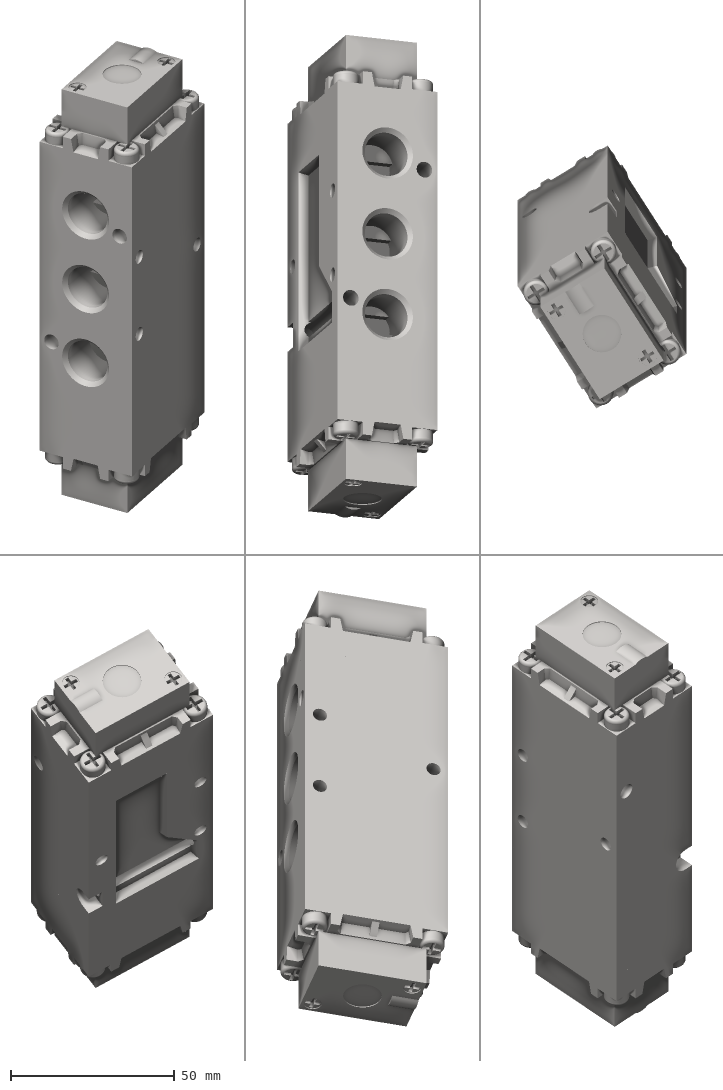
import cadquery as cq
import math

WIDTH = 32.5
DEPTH = 45.5
TOTAL_HEIGHT = 144.3
RIDGE_HEIGHT = 0.7
CAP_HEIGHT = 13.0
PLATE_HEIGHT = 14.0
SPACER_HEIGHT = PLATE_HEIGHT

CAP_TOP = TOTAL_HEIGHT / 2 - RIDGE_HEIGHT
PLATE_TOP = CAP_TOP - CAP_HEIGHT
BODY_TOP = PLATE_TOP - PLATE_HEIGHT
SPACER_BOTTOM = -BODY_TOP
BODY_BOTTOM = SPACER_BOTTOM + SPACER_HEIGHT
BODY_MIDDLE = (BODY_TOP + BODY_BOTTOM) / 2

PORT_PITCH = 26.0
PORT_DIAMETER = 13.9
PORT_MOUTH_DIAMETER = 16.5
PORT_CHAMFER = (PORT_MOUTH_DIAMETER - PORT_DIAMETER) / 2
PORT_DEPTH = 14.5
PASSAGE_PITCH = 24.7
PASSAGE_HEIGHT = 5.6
PASSAGE_DEPTH = 2.9

FRONT_HOLE_DIAMETER = 5.0
FRONT_HOLE_X = 12.0
FRONT_HOLE_RISE = 22.0
SIDE_HOLE_DIAMETER = 4.5
SIDE_HOLE_Y = 18.0
SIDE_HOLE_RISE = 13.5

POCKET_DEPTH = 2.9
POCKET_WALL_RUN = 1.0
POCKET_BACK_Y = 12.8
POCKET_NARROW_Y = -5.9
POCKET_WIDE_Y = -17.5
POCKET_TOP = 35.8
POCKET_BOTTOM = -21.8
POCKET_SLANT_TOP = -0.1
POCKET_SLANT_BOTTOM = POCKET_SLANT_TOP + POCKET_WIDE_Y - POCKET_NARROW_Y
GROOVE_RADIUS = 2.6
GROOVE_Z = -14.9

NOTCH_HEIGHT = 8.0
NOTCH_LENGTH = 5.0
NOTCH_STRAIGHT = 2.9
NOTCH_Z = -15.0

CORNER_SIZE = 8.2
CORNER_DEPTH = 4.0
HEAD_RADIUS = 3.9
HEAD_ROUNDING_HEIGHT = 1.3
HEAD_ROUNDING_WIDTH = 0.9
HEAD_X = 12.1
HEAD_Y = 18.6
HEAD_CROSS_LENGTH = 5.8
CROSS_WIDTH = 1.2
CROSS_DEPTH = 2.2

EDGE_POCKET_DEPTH = 4.5
EDGE_FLOOR_DROP = 0.9
EDGE_CORNER = 1.3
EDGE_TAPER = 11.0
LONG_POCKET_WIDTH = 23.2
LONG_POCKET_REACH = 4.2
SHORT_POCKET_WIDTH = 10.2
SHORT_POCKET_REACH = 5.0
GUSSET_WIDTH = 2.3
GUSSET_REACH = 3.5
GUSSET_DROP = 0.7

CAP_WIDTH = 23.1
CAP_DEPTH = 34.3
BUTTON_DIAMETER = 11.8
RECESS_DEPTH = 0.3
CAP_SCREW_DIAMETER = 5.5
CAP_SCREW_X = 8.0
CAP_SCREW_Y = 13.5
CAP_CROSS_LENGTH = 4.6
RIDGE_WIDTH = 5.2
RIDGE_LENGTH = 8.4


def block(width, depth, bottom, top):
    return cq.Workplane("XY", origin=(0, 0, bottom)).rect(width, depth).extrude(top - bottom)


def cross_recess(x, y, top, length):
    bars = cq.Workplane("XY", origin=(x, y, top)).rect(length, CROSS_WIDTH).extrude(-CROSS_DEPTH)
    return bars.union(
        cq.Workplane("XY", origin=(x, y, top)).rect(CROSS_WIDTH, length).extrude(-CROSS_DEPTH)
    )


def port(row):
    """Chamfered blind bore with a flat-sided passage in its floor; row is -1, 0 or 1."""
    centre = BODY_MIDDLE + row * PORT_PITCH
    profile = [
        (0, 0),
        (PORT_MOUTH_DIAMETER / 2, 0),
        (PORT_DIAMETER / 2, PORT_CHAMFER),
        (PORT_DIAMETER / 2, PORT_DEPTH),
        (0, PORT_DEPTH),
    ]
    bore = (
        cq.Workplane("XY")
        .polyline(profile)
        .close()
        .revolve(360, (0, 0, 0), (0, 1, 0))
        .translate((0, -DEPTH / 2, centre))
    )
    passage = cq.Workplane("XY").box(
        PORT_MOUTH_DIAMETER, PORT_DEPTH + PASSAGE_DEPTH, PASSAGE_HEIGHT, centered=(True, False, True)
    ).translate((0, -DEPTH / 2, BODY_MIDDLE + row * PASSAGE_PITCH))
    shaft = (
        cq.Workplane("XZ", origin=(0, -DEPTH / 2, centre))
        .circle(PORT_DIAMETER / 2)
        .extrude(-PORT_DEPTH - PASSAGE_DEPTH)
    )
    return bore.union(passage.intersect(shaft))


def mounting_holes():
    front = (
        cq.Workplane("XZ", origin=(0, 0, BODY_MIDDLE))
        .pushPoints([(FRONT_HOLE_X, FRONT_HOLE_RISE), (-FRONT_HOLE_X, -FRONT_HOLE_RISE)])
        .circle(FRONT_HOLE_DIAMETER / 2)
        .extrude(DEPTH / 2, both=True)
    )
    side = (
        cq.Workplane("YZ", origin=(0, 0, BODY_MIDDLE))
        .pushPoints([(SIDE_HOLE_Y, 0), (-SIDE_HOLE_Y, SIDE_HOLE_RISE), (-SIDE_HOLE_Y, -SIDE_HOLE_RISE)])
        .circle(SIDE_HOLE_DIAMETER / 2)
        .extrude(WIDTH / 2, both=True)
    )
    return front.union(side)


def side_pocket():
    """Pocket with leaning walls and a round groove across its floor."""
    outline = [
        (POCKET_BACK_Y, POCKET_TOP),
        (POCKET_NARROW_Y, POCKET_TOP),
        (POCKET_NARROW_Y, POCKET_SLANT_TOP),
        (POCKET_WIDE_Y, POCKET_SLANT_BOTTOM),
        (POCKET_WIDE_Y, POCKET_BOTTOM),
        (POCKET_BACK_Y, POCKET_BOTTOM),
    ]
    wall_angle = math.degrees(math.atan2(POCKET_WALL_RUN, POCKET_DEPTH))
    pocket = (
        cq.Workplane("YZ", origin=(-WIDTH / 2, 0, 0))
        .polyline(outline)
        .close()
        .extrude(POCKET_DEPTH, taper=wall_angle)
    )
    groove_start = POCKET_WIDE_Y + POCKET_WALL_RUN
    groove_end = POCKET_BACK_Y - POCKET_WALL_RUN
    groove = (
        cq.Workplane("XZ", origin=(-WIDTH / 2 + POCKET_DEPTH, groove_start, GROOVE_Z))
        .circle(GROOVE_RADIUS)
        .extrude(groove_start - groove_end)
    )
    return pocket.union(groove)


def corner_notch():
    radius = NOTCH_HEIGHT / 2
    return (
        cq.Workplane("XZ", origin=(-WIDTH / 2, DEPTH / 2, NOTCH_Z))
        .moveTo(0, radius)
        .lineTo(NOTCH_STRAIGHT, radius)
        .threePointArc((NOTCH_STRAIGHT + radius, 0), (NOTCH_STRAIGHT, -radius))
        .lineTo(0, -radius)
        .close()
        .extrude(NOTCH_LENGTH)
    )


def make_valve_body():
    body = block(WIDTH, DEPTH, BODY_BOTTOM, BODY_TOP)
    for row in (-1, 0, 1):
        body = body.cut(port(row))
    return body.cut(mounting_holes()).cut(side_pocket()).cut(corner_notch())


def make_spacer():
    return block(WIDTH, DEPTH, SPACER_BOTTOM, BODY_BOTTOM)


def edge_pocket(width, reach, edge):
    """Tapered pocket open to the -X side at x = -edge, with a floor that falls outward."""
    inner = reach - edge
    outline = [
        (-edge - reach, -width / 2),
        (inner - EDGE_CORNER, -width / 2),
        (inner, -width / 2 + EDGE_CORNER),
        (inner, width / 2 - EDGE_CORNER),
        (inner - EDGE_CORNER, width / 2),
        (-edge - reach, width / 2),
    ]
    pocket = (
        cq.Workplane("XY", origin=(0, 0, PLATE_TOP))
        .polyline(outline)
        .close()
        .extrude(-EDGE_POCKET_DEPTH, taper=EDGE_TAPER)
    )
    floor = PLATE_TOP - EDGE_POCKET_DEPTH
    floor_wedge = (
        cq.Workplane("XZ")
        .polyline([(-edge, floor), (inner, floor), (inner, floor + EDGE_FLOOR_DROP)])
        .close()
        .extrude(width / 2, both=True)
    )
    return pocket.cut(floor_wedge)


def gusset():
    """Sloped rib between the floor and the back wall of the -X edge pocket."""
    inner = LONG_POCKET_REACH - WIDTH / 2
    bottom = PLATE_TOP - EDGE_POCKET_DEPTH
    return (
        cq.Workplane("XZ")
        .polyline([(inner - GUSSET_REACH, bottom), (inner, bottom), (inner, PLATE_TOP - GUSSET_DROP)])
        .close()
        .extrude(GUSSET_WIDTH / 2, both=True)
    )


def screw_head(x, y):
    """Cross-recessed head with a rounded rim, standing in a corner of the plate."""
    rim_radius = HEAD_RADIUS - HEAD_ROUNDING_WIDTH
    diagonal = math.sqrt(0.5)
    head = (
        cq.Workplane("XZ")
        .moveTo(0, -CORNER_DEPTH)
        .lineTo(HEAD_RADIUS, -CORNER_DEPTH)
        .lineTo(HEAD_RADIUS, -HEAD_ROUNDING_HEIGHT)
        .threePointArc(
            (rim_radius + diagonal * HEAD_ROUNDING_WIDTH, (diagonal - 1) * HEAD_ROUNDING_HEIGHT),
            (rim_radius, 0),
        )
        .lineTo(0, 0)
        .close()
        .revolve(360, (0, 0, 0), (0, 1, 0))
        .translate((x, y, PLATE_TOP))
    )
    return head.cut(cross_recess(x, y, PLATE_TOP, HEAD_CROSS_LENGTH))


def make_end_plate():
    plate = block(WIDTH, DEPTH, BODY_TOP, PLATE_TOP)
    long_pocket = edge_pocket(LONG_POCKET_WIDTH, LONG_POCKET_REACH, WIDTH / 2).cut(gusset())
    short_pocket = edge_pocket(SHORT_POCKET_WIDTH, SHORT_POCKET_REACH, DEPTH / 2)
    for turn in (0, 180):
        plate = plate.cut(long_pocket.rotate((0, 0, 0), (0, 0, 1), turn))
        plate = plate.cut(short_pocket.rotate((0, 0, 0), (0, 0, 1), turn + 90))
    corners = (
        cq.Workplane("XY", origin=(0, 0, PLATE_TOP))
        .rect(WIDTH - CORNER_SIZE, DEPTH - CORNER_SIZE, forConstruction=True)
        .vertices()
        .rect(CORNER_SIZE, CORNER_SIZE)
        .extrude(-CORNER_DEPTH)
    )
    plate = plate.cut(corners)
    for x in (-HEAD_X, HEAD_X):
        for y in (-HEAD_Y, HEAD_Y):
            plate = plate.union(screw_head(x, y))
    return plate


def cap_ridge():
    """Low arched ridge on the cap top, running in from the +Y edge."""
    return (
        cq.Workplane("XZ", origin=(0, CAP_DEPTH / 2, CAP_TOP))
        .moveTo(-RIDGE_WIDTH / 2, 0)
        .threePointArc((0, RIDGE_HEIGHT), (RIDGE_WIDTH / 2, 0))
        .close()
        .extrude(RIDGE_LENGTH)
    )


def make_pilot_cap():
    cap = block(CAP_WIDTH, CAP_DEPTH, PLATE_TOP, CAP_TOP)
    top_face = cq.Workplane("XY", origin=(0, 0, CAP_TOP))
    cap = cap.cut(top_face.circle(BUTTON_DIAMETER / 2).extrude(-RECESS_DEPTH))
    for side in (-1, 1):
        x = side * CAP_SCREW_X
        y = side * CAP_SCREW_Y
        recess = top_face.center(x, y).circle(CAP_SCREW_DIAMETER / 2).extrude(-RECESS_DEPTH)
        cap = cap.cut(recess).cut(cross_recess(x, y, CAP_TOP, CAP_CROSS_LENGTH))
    return cap.union(cap_ridge())


valve_body = make_valve_body()
spacer = make_spacer()
end_plate = make_end_plate()
pilot_cap = make_pilot_cap()
lower_end_plate = end_plate.mirror("XY")
lower_pilot_cap = pilot_cap.mirror("XY")

result = cq.Compound.makeCompound(
    [
        valve_body.val(),
        spacer.val(),
        end_plate.val(),
        lower_end_plate.val(),
        pilot_cap.val(),
        lower_pilot_cap.val(),
    ]
)